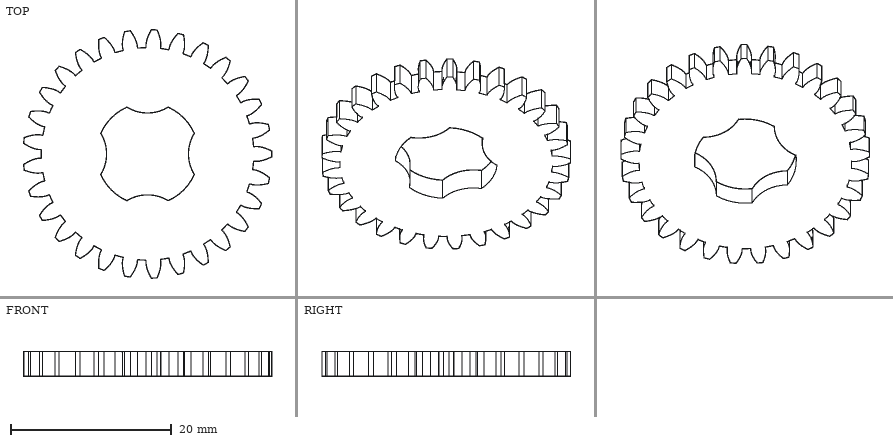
import cadquery as cq
import math

overall_length = 31.0
thickness = 3.13
tooth_count = 29
pressure_angle = math.radians(20)
addendum_in_modules = 1.0
dedendum_in_modules = 1.25
bore_radius = 6.35
lobe_count = 4
lobe_inner_distance = 5.08
lobe_radius = 4.9
flank_points = 5


def involute(angle):
    return math.tan(angle) - angle


pitch_step = 2 * math.pi / tooth_count
pitch_to_tip_ratio = tooth_count / (tooth_count + 2 * addendum_in_modules)
tip_pressure_angle = math.acos(math.cos(pressure_angle) * pitch_to_tip_ratio)
base_half_angle = pitch_step / 4 + involute(pressure_angle)
tip_half_angle = base_half_angle - involute(tip_pressure_angle)

tip_radius = overall_length / 2 / math.cos(pitch_step / 4 - tip_half_angle)
pitch_radius = tip_radius * pitch_to_tip_ratio
module = 2 * pitch_radius / tooth_count
base_radius = pitch_radius * math.cos(pressure_angle)
root_radius = pitch_radius - dedendum_in_modules * module


def polar(radius, angle):
    return (radius * math.cos(angle), radius * math.sin(angle))


def flank(center_angle, side):
    """Involute points from base circle to tip; side is -1 or +1 about the tooth centre."""
    points = []
    for i in range(flank_points):
        radius = base_radius + (tip_radius - base_radius) * i / (flank_points - 1)
        half_angle = base_half_angle - involute(math.acos(base_radius / radius))
        points.append(polar(radius, center_angle + side * half_angle))
    return points


def gear_blank():
    """Toothed disc: radial roots below the base circle, involute flanks, round tips."""
    outline = cq.Workplane("XY").moveTo(*polar(root_radius, -base_half_angle))
    for tooth in range(tooth_count):
        center = tooth * pitch_step
        rising = flank(center, -1)
        falling = flank(center, 1)[::-1]
        outline = outline.lineTo(*rising[0])
        outline = outline.spline(rising[1:], includeCurrent=True)
        outline = outline.threePointArc(polar(tip_radius, center), falling[0])
        outline = outline.spline(falling[1:], includeCurrent=True)
        outline = outline.lineTo(*polar(root_radius, center + base_half_angle))
        outline = outline.threePointArc(
            polar(root_radius, center + pitch_step / 2),
            polar(root_radius, center + pitch_step - base_half_angle),
        )
    return outline.close().extrude(thickness)


def lobed_bore():
    """Round bore with four round lobes that reach inward from its wall."""
    bore = cq.Workplane("XY").circle(bore_radius).extrude(thickness)
    lobes = (
        cq.Workplane("XY")
        .polarArray(lobe_inner_distance + lobe_radius, 0, 360, lobe_count)
        .circle(lobe_radius)
        .extrude(thickness)
    )
    return bore.cut(lobes)


result = gear_blank().cut(lobed_bore())